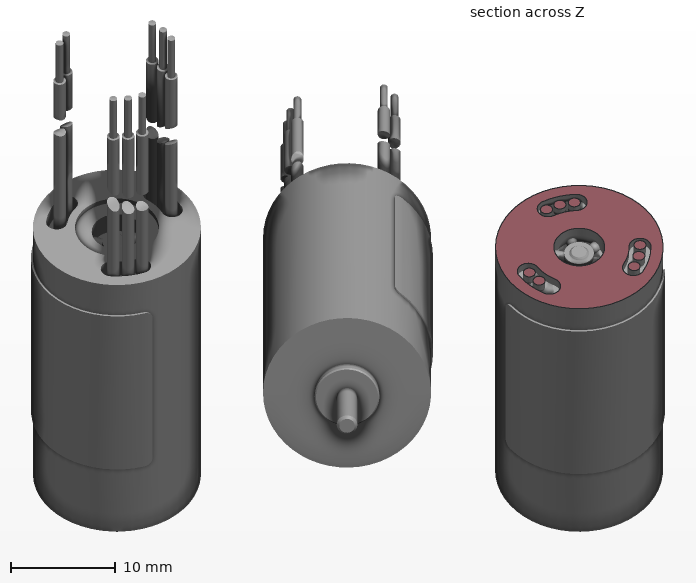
import cadquery as cq
import math


HOUSING_RADIUS = 8.0
HOUSING_LENGTH = 32.3
BOSS_RADIUS = 3.1
BOSS_HEIGHT = 0.9
BOSS_CHAMFER = 0.1
SHAFT_RADIUS = 1.0
SHAFT_REACH = 6.9
SHAFT_CHAMFER = 0.25

LABEL_THICKNESS = 0.2
LABEL_BOTTOM = 8.3
LABEL_HEIGHT = 20.1
LABEL_EDGE_Y = -2.05
LABEL_CORNER_RADIUS = 0.8

SEAT_RADIUS = 4.0
SEAT_DEPTH = 0.55
BEARING_RADIUS = 2.4
BEARING_DEPTH = 2.2
SHAFT_END_DEPTH = 1.6
HUB_RADIUS = 1.4
HUB_HEIGHT = 1.0
RIB_COUNT = 6
RIB_RADIUS = 0.55

WIRE_CIRCLE_RADIUS = 5.8
WIRE_PITCH_ANGLE = 14.0
WIRE_SHIFT_ANGLE = 1.8
SHEATH_RADIUS = 0.6
CORE_RADIUS = 0.4
CORE_LENGTH = 4.9
SLOT_WIDTH = 2.05
SLOT_DEPTH = 1.85
STUB_ROOT = 0.6
TOTAL_LENGTH = 61.6
BREAK_GAP = 2.1

BREAK_CURVE = [
    (-6.15, 10.0),
    (-4.4, 10.65),
    (-2.2, 8.4),
    (-1.25, 7.7),
    (0.55, 8.25),
    (1.85, 9.05),
    (3.65, 9.0),
    (5.35, 7.75),
    (6.4, 7.75),
]

WIRE_GROUPS = [
    (0, (-1, 0, 1)),
    (120, (-1, 0)),
    (240, (-1, 0, 1)),
]

WIRE_TOP = TOTAL_LENGTH - SHAFT_REACH
SEAT_FLOOR = HOUSING_LENGTH - SEAT_DEPTH
BEARING_FLOOR = SEAT_FLOOR - BEARING_DEPTH
SLOT_FLOOR = HOUSING_LENGTH - SLOT_DEPTH
STUB_BOTTOM = SLOT_FLOOR - STUB_ROOT


def cylinder(radius, bottom, top):
    return cq.Workplane().workplane(offset=bottom).circle(radius).extrude(top - bottom)


def turned(shape, angle):
    return shape.rotate((0, 0, 0), (0, 0, 1), angle)


def circle_point(angle):
    """Point on the wire circle, with the angle counted counterclockwise from +Y."""
    turn = math.radians(angle)
    return (-WIRE_CIRCLE_RADIUS * math.sin(turn), WIRE_CIRCLE_RADIUS * math.cos(turn))


def make_label():
    """Thin band whose free edges stand at LABEL_EDGE_Y on both sides of the housing."""
    outer_radius = HOUSING_RADIUS + LABEL_THICKNESS
    label_top = LABEL_BOTTOM + LABEL_HEIGHT
    band = cylinder(outer_radius, LABEL_BOTTOM, label_top).cut(
        cylinder(HOUSING_RADIUS - LABEL_THICKNESS, LABEL_BOTTOM, label_top)
    )
    window = (
        cq.Workplane()
        .box(4 * outer_radius, 2 * outer_radius, LABEL_HEIGHT, centered=(True, True, False))
        .edges("|X and >Y")
        .fillet(LABEL_CORNER_RADIUS)
        .translate((0, LABEL_EDGE_Y - outer_radius, LABEL_BOTTOM))
    )
    return band.intersect(window)


def make_output_end():
    """Boss and shaft below the mounting face."""
    boss = cylinder(BOSS_RADIUS, -BOSS_HEIGHT, 0.6).faces("<Z").chamfer(BOSS_CHAMFER)
    shaft = cylinder(SHAFT_RADIUS, -SHAFT_REACH, 0.6).faces("<Z").chamfer(SHAFT_CHAMFER)
    return boss.union(shaft)


def make_bearing():
    """Hub, shaft end and radial half-round ribs on the floor of the bearing bore."""
    hub = cylinder(HUB_RADIUS, BEARING_FLOOR - 0.6, BEARING_FLOOR + HUB_HEIGHT)
    shaft_end = (
        cylinder(SHAFT_RADIUS, BEARING_FLOOR - 0.6, HOUSING_LENGTH - SHAFT_END_DEPTH)
        .faces(">Z")
        .chamfer(SHAFT_CHAMFER)
    )
    bearing = hub.union(shaft_end)
    rib = (
        cq.Workplane("XZ", origin=(0, 0, BEARING_FLOOR))
        .circle(RIB_RADIUS)
        .extrude(-BEARING_RADIUS)
    )
    for i in range(RIB_COUNT):
        bearing = bearing.union(turned(rib, i * 360 / RIB_COUNT))
    return bearing


def make_slot():
    """Slot at +Y that follows the wire circle and has round ends."""
    inner = WIRE_CIRCLE_RADIUS - SLOT_WIDTH / 2
    outer = WIRE_CIRCLE_RADIUS + SLOT_WIDTH / 2

    def at(radius, angle):
        x, y = circle_point(angle)
        return (x * radius / WIRE_CIRCLE_RADIUS, y * radius / WIRE_CIRCLE_RADIUS)

    end = WIRE_PITCH_ANGLE
    round_end = end + math.degrees(SLOT_WIDTH / 2 / WIRE_CIRCLE_RADIUS)
    return (
        cq.Workplane()
        .workplane(offset=SLOT_FLOOR)
        .moveTo(*at(inner, -end))
        .threePointArc(at(inner, 0), at(inner, end))
        .threePointArc(circle_point(round_end), at(outer, end))
        .threePointArc(at(outer, 0), at(outer, -end))
        .threePointArc(circle_point(-round_end), at(inner, -end))
        .close()
        .extrude(SLOT_DEPTH)
    )


def make_break_block():
    """Block that fills everything below the break curve, which runs straight along Y."""
    points = [(x, HOUSING_LENGTH + height) for x, height in BREAK_CURVE]
    return (
        cq.Workplane("XZ")
        .moveTo(points[0][0], STUB_BOTTOM)
        .lineTo(*points[0])
        .spline(points[1:], includeCurrent=True)
        .lineTo(points[-1][0], STUB_BOTTOM)
        .close()
        .extrude(HOUSING_RADIUS, both=True)
    )


def make_stub(position, break_block):
    """Lower piece of a wire, rooted below the slot floor and reaching up to the break."""
    stub = cylinder(SHEATH_RADIUS, STUB_BOTTOM, WIRE_TOP).translate((*position, 0))
    return stub.intersect(break_block)


def make_wire_end(position, break_block):
    """Loose upper piece of a wire: sheath above the break, then the bare core."""
    sheath = cylinder(SHEATH_RADIUS, HOUSING_LENGTH, WIRE_TOP - CORE_LENGTH).translate((*position, 0))
    core = cylinder(CORE_RADIUS, WIRE_TOP - CORE_LENGTH, WIRE_TOP).translate((*position, 0))
    return sheath.cut(break_block.translate((0, 0, BREAK_GAP))).union(core)


motor = cylinder(HOUSING_RADIUS, 0, HOUSING_LENGTH).union(make_output_end()).union(make_label())
motor = motor.cut(cylinder(SEAT_RADIUS, SEAT_FLOOR, HOUSING_LENGTH))
motor = motor.cut(cylinder(BEARING_RADIUS, BEARING_FLOOR, SEAT_FLOOR))
motor = motor.union(make_bearing())

for group_angle, _ in WIRE_GROUPS:
    motor = motor.cut(turned(make_slot(), group_angle))

break_block = make_break_block()
wire_ends = []
for group_angle, steps in WIRE_GROUPS:
    for step in steps:
        position = circle_point(group_angle + WIRE_SHIFT_ANGLE + step * WIRE_PITCH_ANGLE)
        motor = motor.union(make_stub(position, break_block))
        wire_ends.append(make_wire_end(position, break_block))

result = cq.Compound.makeCompound([motor.val(), *[end.val() for end in wire_ends]])